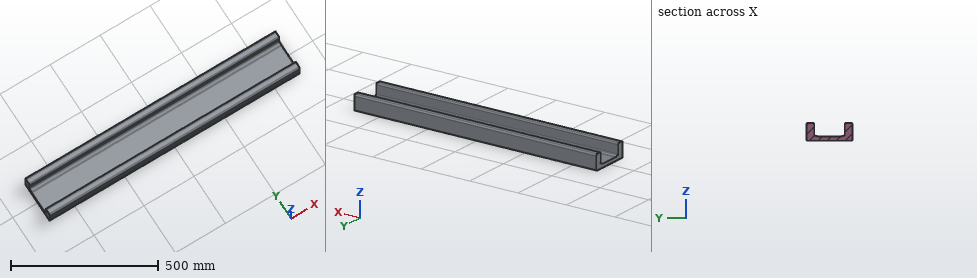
import cadquery as cq

length = 1000.0
width = 157.0
height = 61.0

wall_thickness = 27.0
floor_thickness = 15.0
outer_radius = 6.0
inner_top_radius = 5.0
slope_run = 13.0
slope_rise = 4.2
wall_root_radius = 3.0
floor_blend_radius = 10.0

half_width = width / 2
half_channel = half_width - wall_thickness
half_floor = half_channel - slope_run

profile = (
    cq.Workplane("YZ", origin=(-length / 2, 0, -height / 2))
    .moveTo(-half_width, 0)
    .lineTo(half_width, 0)
    .lineTo(half_width, height)
    .lineTo(half_channel, height)
    .lineTo(half_channel, floor_thickness + slope_rise)
    .lineTo(half_floor, floor_thickness)
    .lineTo(-half_floor, floor_thickness)
    .lineTo(-half_channel, floor_thickness + slope_rise)
    .lineTo(-half_channel, height)
    .lineTo(-half_width, height)
    .close()
)
channel = profile.extrude(length)


def round_long_edges(body, side_distance, level, radius):
    """Round the mirrored pair of lengthwise edges at the given Y distance and Z height above the base."""
    z = level - height / 2
    for y in (-side_distance, side_distance):
        edge = body.edges(cq.selectors.NearestToPointSelector((0, y, z)))
        body = edge.fillet(radius)
    return body


channel = round_long_edges(channel, half_width, 0, outer_radius)
channel = round_long_edges(channel, half_width, height, outer_radius)
channel = round_long_edges(channel, half_channel, height, inner_top_radius)
channel = round_long_edges(channel, half_channel, floor_thickness + slope_rise, wall_root_radius)
channel = round_long_edges(channel, half_floor, floor_thickness, floor_blend_radius)

result = channel